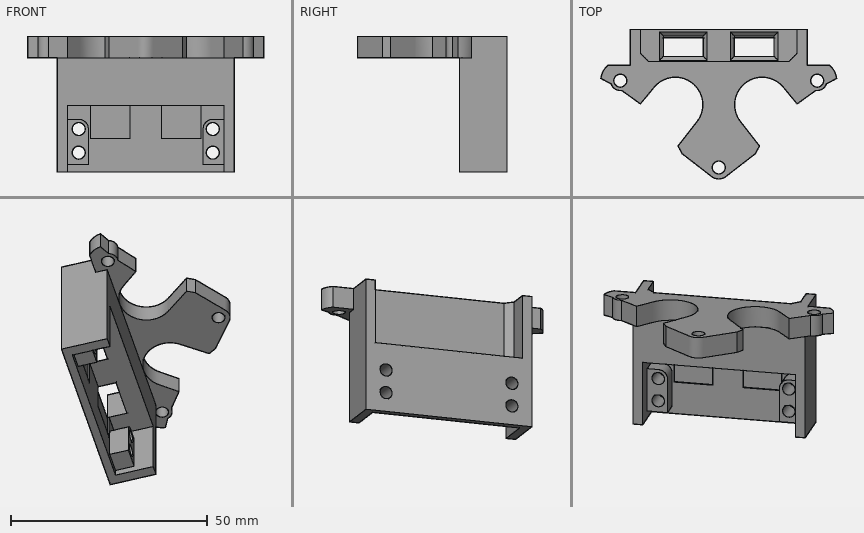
import cadquery as cq
import math

height = 34.55
block_half_width = 22.5
block_depth = 12.1

plate_thickness = 5.5
plate_half_width = 30.0
plate_hole_radius = 1.6
wing_hole_x, wing_hole_y = 25.0, -13.0
nose_hole_y = -35.1
nose_tip_y = -38.0
nose_end_x, nose_end_y = 1.85, -37.35
wing_rear_y = -9.05
bay_rear_x, bay_rear_y = 11.05, -12.15
wing_pad_radius = 2.5

pocket_half_width = 19.9
front_pocket_height = 16.9
rear_wall_thickness = 2.15
floor_thickness = 1.0
rear_pocket_depth = 8.1
rear_pocket_chamfer = 2.05

window_center_x = 9.0
window_width = 10.1
window_rear_y = -1.7
window_front_y = -6.85
window_bevel = 1.0
window_recess_bottom = 8.5

boss_inner_x = 14.55
boss_bottom = 2.0
boss_length = 4.9
boss_hole_radius = 1.6
boss_hole_x = 17.0
boss_hole_heights = (5.0, 11.0)
boss_corner_radius = boss_hole_x - boss_inner_x
boss_top = boss_hole_heights[-1] + boss_corner_radius

SIDES = (-1, 1)


def box(x_min, x_max, y_min, y_max, z_min, z_max):
    """Axis-aligned box between the given limits."""
    return cq.Workplane("XY").box(
        x_max - x_min, y_max - y_min, z_max - z_min, centered=False
    ).translate((x_min, y_min, z_min))


def make_plate():
    """Winged plate with its two round bays and three holes, symmetric about x = 0."""
    nose_rise = nose_end_y - nose_tip_y
    nose_radius = (nose_end_x**2 + nose_rise**2) / (2 * nose_rise)
    nose_mid_angle = math.asin(nose_end_x / nose_radius) / 2
    nose_mid = (
        nose_radius * math.sin(nose_mid_angle),
        nose_tip_y + nose_radius * (1 - math.cos(nose_mid_angle)),
    )
    half = (
        cq.Workplane("XY", origin=(0, 0, height - plate_thickness))
        .moveTo(0, wing_rear_y)
        .lineTo(28.1, wing_rear_y)
        .threePointArc((29.3, -10.5), (plate_half_width, -12.45))
        .lineTo(27.35, -13.85)
        .threePointArc(
            (wing_hole_x + 0.6 * wing_pad_radius, wing_hole_y - 0.8 * wing_pad_radius),
            (24.65, -15.5),
        )
        .lineTo(19.9, -18.95)
        .lineTo(16.5, -14.8)
        .threePointArc((bay_rear_x, bay_rear_y), (5.35, -23.15))
        .lineTo(10.4, -29.6)
        .lineTo(9.3, -31.6)
        .lineTo(nose_end_x, nose_end_y)
        .threePointArc(nose_mid, (0, nose_tip_y))
        .close()
        .extrude(plate_thickness)
    )
    hole_centers = [(side * wing_hole_x, wing_hole_y) for side in SIDES]
    hole_centers.append((0, nose_hole_y))
    holes = (
        cq.Workplane("XY", origin=(0, 0, height - plate_thickness))
        .pushPoints(hole_centers)
        .circle(plate_hole_radius)
        .extrude(plate_thickness)
    )
    return half.union(half.mirror("YZ")).clean().cut(holes)


def make_front_pocket():
    """Recess under the floor, open to the front and the bottom."""
    return box(
        -pocket_half_width, pocket_half_width,
        -block_depth, -rear_wall_thickness,
        0, front_pocket_height,
    )


def make_rear_pocket():
    """Recess above the floor, open to the rear and the top, with bevelled front corners."""
    pocket = box(
        -pocket_half_width, pocket_half_width,
        -rear_pocket_depth, 0,
        front_pocket_height + floor_thickness, height,
    )
    return pocket.edges("|Z and <Y").chamfer(rear_pocket_chamfer)


def make_window(center_x):
    """Tapered opening through the floor plus a shallow recess in the rear wall below it."""
    window_depth = window_rear_y - window_front_y
    center_y = (window_rear_y + window_front_y) / 2
    opening = (
        cq.Workplane("XY", origin=(center_x, center_y, front_pocket_height))
        .rect(window_width, window_depth)
        .workplane(offset=floor_thickness)
        .rect(window_width + 2 * window_bevel, window_depth + 2 * window_bevel)
        .loft(ruled=True)
    )
    recess = box(
        center_x - window_width / 2, center_x + window_width / 2,
        window_front_y, window_rear_y,
        window_recess_bottom, front_pocket_height,
    )
    return opening.union(recess)


def make_boss():
    """Right-hand screw boss, joined to the rear wall and the side wall."""
    boss = box(
        boss_inner_x, pocket_half_width,
        -rear_wall_thickness - boss_length, -rear_wall_thickness,
        boss_bottom, boss_top,
    )
    return boss.edges("|Y and <X and >Z").fillet(boss_corner_radius)


def make_boss_holes():
    """Screw holes running from the boss faces out through the rear wall."""
    centers = [(side * boss_hole_x, z) for side in SIDES for z in boss_hole_heights]
    return cq.Workplane("XZ").pushPoints(centers).circle(boss_hole_radius).extrude(block_depth)


block = box(-block_half_width, block_half_width, -block_depth, 0, 0, height)
body = block.union(make_plate()).cut(make_front_pocket()).cut(make_rear_pocket())
for side in SIDES:
    body = body.cut(make_window(side * window_center_x))
boss = make_boss()
body = body.union(boss).union(boss.mirror("YZ"))
result = body.cut(make_boss_holes())